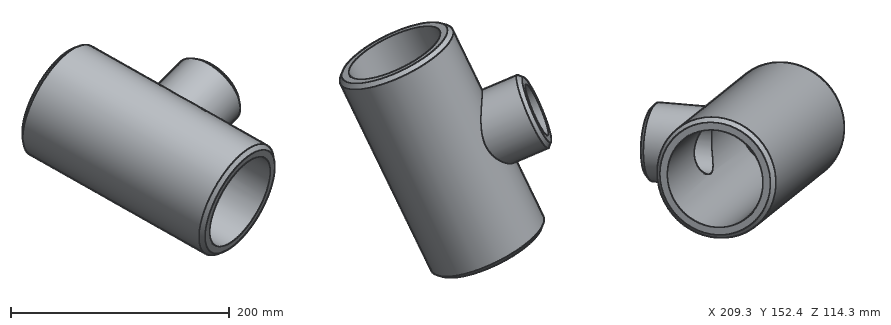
import cadquery as cq

run_length = 209.3
run_diameter = 114.3
branch_diameter = 73.0
branch_reach = 95.25
wall = 11.13
bevel = 4.0


def cylinder(plane, diameter, length, both=False):
    return cq.Workplane(plane).circle(diameter / 2).extrude(length, both=both)


run_body = cylinder("YZ", run_diameter, run_length / 2, both=True).faces("<X or >X").chamfer(bevel)
branch_body = cylinder("XZ", branch_diameter, -branch_reach).faces(">Y").chamfer(bevel)

run_bore = cylinder("YZ", run_diameter - 2 * wall, run_length / 2, both=True)
branch_bore = cylinder("XZ", branch_diameter - 2 * wall, -branch_reach)

result = run_body.union(branch_body).cut(run_bore).cut(branch_bore)